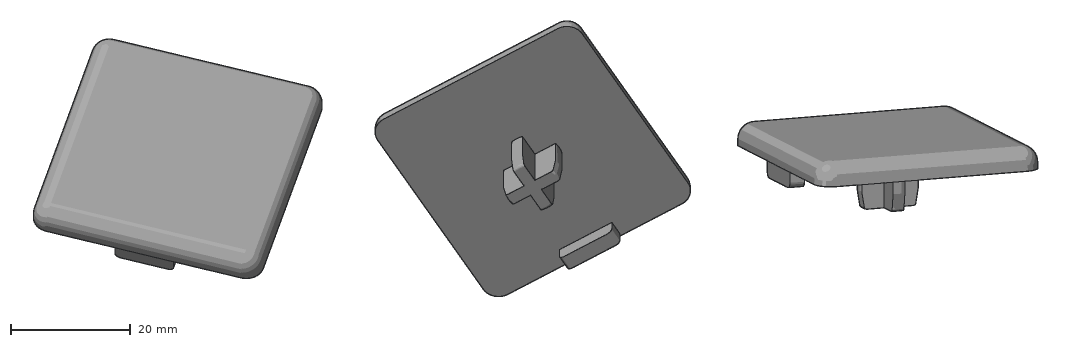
import cadquery as cq

plate_side = 40.0
plate_thickness = 4.0
edge_radius = 3.0

plug_diameter = 10.4
plug_length = 8.5
plug_straight_length = 5.4
plug_tip_diameter = 9.4
plug_tip_radius = 0.5
rib_thickness = 2.1

tab_width = 10.3
tab_thickness = 2.65
tab_height = 3.0
tab_corner_radius = 1.0
tab_edge_gap = 0.35


def make_plate():
    """Square plate with rounded corners and a fully rounded upper rim."""
    plate = cq.Workplane("XY").box(
        plate_side, plate_side, plate_thickness, centered=(True, True, False)
    )
    plate = plate.edges("|Z").fillet(edge_radius)
    return plate.faces(">Z").edges().fillet(edge_radius)


def make_plug():
    """Two crossed ribs whose ends follow a round plug with a tapered tip."""
    envelope = (
        cq.Workplane("XY")
        .workplane(offset=-plug_straight_length)
        .circle(plug_diameter / 2)
        .extrude(plug_straight_length)
    )
    tip = (
        cq.Workplane("XY")
        .workplane(offset=-plug_length)
        .circle(plug_tip_diameter / 2)
        .workplane(offset=plug_length - plug_straight_length)
        .circle(plug_diameter / 2)
        .loft(ruled=True)
    )
    envelope = envelope.union(tip.faces("<Z").edges().fillet(plug_tip_radius))

    rib = cq.Workplane("XY").box(
        plug_diameter, rib_thickness, plug_length, centered=(True, True, False)
    )
    rib = rib.translate((0, 0, -plug_length))
    cross = rib.union(rib.rotate((0, 0, 0), (0, 0, 1), 90))
    return cross.intersect(envelope)


def make_tab():
    """Rectangular tab with its two lower corners rounded."""
    tab_center_y = -plate_side / 2 + tab_edge_gap + tab_thickness / 2
    tab = cq.Workplane("XY").box(
        tab_width, tab_thickness, tab_height, centered=(True, True, False)
    )
    tab = tab.edges("|Y and <Z").fillet(tab_corner_radius)
    return tab.translate((0, tab_center_y, -tab_height))


result = make_plate().union(make_plug()).union(make_tab())